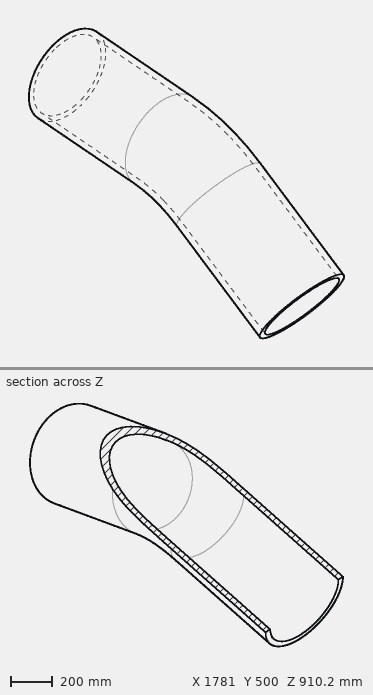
import cadquery as cq
import math

overall_length = 1781.0
outer_diameter = 500.0
inner_diameter = 440.0
bend_radius = 780.0
bend_angle = 30.0

angle = math.radians(bend_angle)
outside_bend_radius = bend_radius + outer_diameter / 2
leg_length = (overall_length - outside_bend_radius * math.sin(angle)) / (1 + math.cos(angle))


def bend_point(turn):
    """Centreline point after turning down through the given angle."""
    return (
        leg_length + bend_radius * math.sin(turn),
        bend_radius * (math.cos(turn) - 1),
    )


bend_end_x, bend_end_z = bend_point(angle)
pipe_end = (
    bend_end_x + leg_length * math.cos(angle),
    bend_end_z - leg_length * math.sin(angle),
)
centreline = (
    cq.Workplane("XZ")
    .moveTo(0, 0)
    .lineTo(leg_length, 0)
    .threePointArc(bend_point(angle / 2), (bend_end_x, bend_end_z))
    .lineTo(*pipe_end)
)

result = (
    cq.Workplane("YZ")
    .circle(outer_diameter / 2)
    .circle(inner_diameter / 2)
    .sweep(centreline)
)